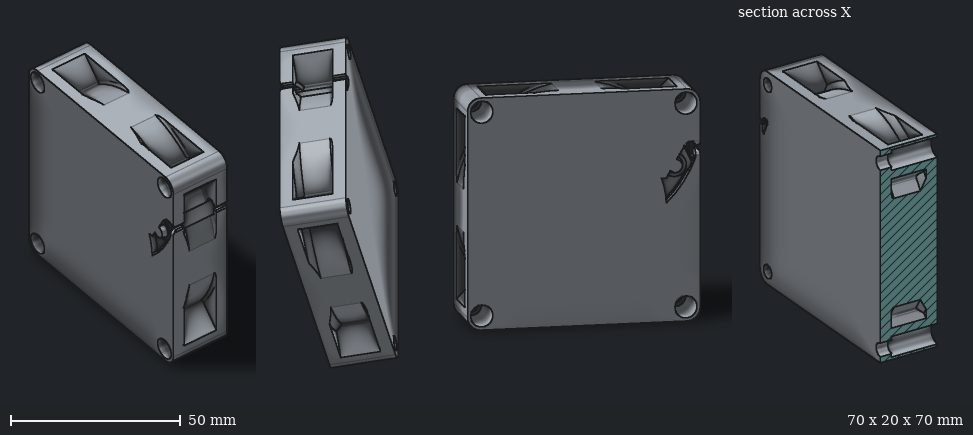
import cadquery as cq
import math


WIDTH = 70.0
DEPTH = 20.0
HALF = WIDTH / 2
FRONT_Y = -DEPTH / 2
CORNER_RADIUS = 4.0

HOLE_SPACING = 61.4
HOLE_DIAMETER = 4.4
COUNTERBORE_DIAMETER = 6.6
COUNTERBORE_DEPTH = 16.0

RING_RADIUS = 35.6
POCKET_END = 28.75
POCKET_HALF_DEPTH = 6.0
FRONT_BEVEL = 2.0
ROOT_FILLET = 0.8

MARGIN = 0.2

RECESS_DEPTH = 2.0
RECESS_INNER_RADIUS = 24.8
RECESS_TOP = (30.3, 18.0)
RECESS_LEFT = (24.8, 8.4)
RECESS_CORNER_Z = 8.3
RECESS_TIP_Z = 0.9
RECESS_ARC_MIDDLE = (30.3, 7.6)
RIM_BEVEL_WIDTH = 0.65
RIM_BEVEL_DEPTH = 0.25
RIM_BEVEL_TOP_Z = 10.4
FLOOR_CHAMFER = 0.5

POST_CENTER = (27.6, 11.9)
POST_TOP_RADIUS = 2.0
POST_FOOT_RADIUS = 2.5
PAD_RADIUS = 3.55
PAD_DEPTH = 1.8

NOTCH_UPPER = (30.9, 17.6)
NOTCH_LOWER = (32.8, 13.7)
NOTCH_TOP_Z = 19.05
NOTCH_CORNER = 0.5
HOOK_X = 33.6
HOOK_SLOPE_RUN = 0.8
HOOK_SLOPE_END_Z = 18.2
HOOK_BASE = (HOOK_X, 14.4)
THROAT_BOTTOM_Z = 16.5
THROAT_TOP_Z = 17.7
THROAT_CHAMFER = 0.45
LEAD_IN_RADIUS = 1.55


def front_plane(depth=0.0):
    """Sketch plane at a depth behind the front face."""
    return cq.Workplane("XZ", origin=(0, FRONT_Y + depth, 0))


def prism(sketch, length):
    """Extrude a front-plane sketch toward +Y."""
    return sketch.extrude(-length)


def cone(center, front_radius, back_radius, length):
    """Truncated cone along +Y that starts at the front face."""
    profile = cq.Workplane("XY").polyline([
        (0, FRONT_Y),
        (front_radius, FRONT_Y),
        (back_radius, FRONT_Y + length),
        (0, FRONT_Y + length),
    ]).close()
    solid = profile.revolve(360, (0, 0, 0), (0, 1, 0))
    return solid.translate((center[0], 0, center[1]))


def housing():
    body = prism(front_plane().rect(WIDTH, WIDTH), DEPTH)
    return body.edges("|Y").fillet(CORNER_RADIUS)


def screw_holes():
    """Through holes at the four corners, counterbored from the front."""
    corners = front_plane().rect(HOLE_SPACING, HOLE_SPACING, forConstruction=True).vertices()
    bores = prism(corners.circle(HOLE_DIAMETER / 2), DEPTH)
    counterbores = prism(corners.circle(COUNTERBORE_DIAMETER / 2), COUNTERBORE_DEPTH)
    return bores.union(counterbores)


def fan_ring():
    """Round core left standing in the pockets, flared toward the front."""
    bevel_start = -POCKET_HALF_DEPTH + FRONT_BEVEL
    profile = cq.Workplane("XY").polyline([
        (0, -POCKET_HALF_DEPTH),
        (RING_RADIUS + FRONT_BEVEL, -POCKET_HALF_DEPTH),
        (RING_RADIUS, bevel_start),
        (RING_RADIUS, POCKET_HALF_DEPTH),
        (0, POCKET_HALF_DEPTH),
    ]).close()
    return profile.revolve(360, (0, 0, 0), (0, 1, 0))


def top_right_pocket():
    """Pocket in the top side: ends in a wall that slopes at 45 degrees."""
    wedge = (
        cq.Workplane("XZ", origin=(0, -POCKET_HALF_DEPTH, 0))
        .polyline([(0, HALF), (POCKET_END, HALF), (0, HALF - POCKET_END)])
        .close()
        .extrude(-2 * POCKET_HALF_DEPTH)
    )
    pocket = wedge.cut(fan_ring())
    back_y = POCKET_HALF_DEPTH
    half_ring = RING_RADIUS / 2
    pocket_reach = POCKET_END - MARGIN
    back_edge = cq.selectors.BoxSelector(
        (0, back_y - MARGIN, 0),
        (pocket_reach, back_y + MARGIN, HALF + MARGIN),
        boundingbox=True,
    )
    wall_edge = cq.selectors.BoxSelector(
        (half_ring, MARGIN - back_y, half_ring),
        (pocket_reach, back_y + MARGIN, HALF - MARGIN),
        boundingbox=True,
    )
    root_edges = back_edge + wall_edge
    return pocket.edges(root_edges).fillet(ROOT_FILLET)


def side_pockets():
    """A mirrored pair of pockets in each of the four sides."""
    pocket = top_right_pocket()
    pair = pocket.union(pocket.mirror("YZ"))
    return [pair.rotate((0, 0, 0), (0, 1, 0), 90 * turn) for turn in range(4)]


def arc_center(p, q, r):
    """Center of the circle through three points."""
    d = 2 * (p[0] * (q[1] - r[1]) + q[0] * (r[1] - p[1]) + r[0] * (p[1] - q[1]))
    pp, qq, rr = (a * a + b * b for a, b in (p, q, r))
    x = (pp * (q[1] - r[1]) + qq * (r[1] - p[1]) + rr * (p[1] - q[1])) / d
    z = (pp * (r[0] - q[0]) + qq * (p[0] - r[0]) + rr * (q[0] - p[0])) / d
    return x, z


def inner_arc_point(z):
    return math.sqrt(RECESS_INNER_RADIUS**2 - z**2), z


def recess_area(length):
    """Full recess outline as a straight-walled prism."""
    corner = inner_arc_point(RECESS_CORNER_Z)
    middle = inner_arc_point((RECESS_CORNER_Z + RECESS_TIP_Z) / 2)
    outline = (
        front_plane()
        .moveTo(*RECESS_TOP)
        .lineTo(*RECESS_LEFT)
        .lineTo(*corner)
        .threePointArc(middle, inner_arc_point(RECESS_TIP_Z))
        .threePointArc(RECESS_ARC_MIDDLE, HOOK_BASE)
        .close()
    )
    return prism(outline, length)


def recess():
    """Recess with a beveled outer rim, a screw post on a round pad and a chamfered floor edge."""
    area = recess_area(RECESS_DEPTH)
    tip = inner_arc_point(RECESS_TIP_Z)
    rim_center = arc_center(tip, RECESS_ARC_MIDDLE, HOOK_BASE)
    rim_radius = math.dist(rim_center, tip)
    floor_radius = rim_radius - RIM_BEVEL_WIDTH
    rim = cone(rim_center, rim_radius, floor_radius, RIM_BEVEL_DEPTH)
    rim = rim.union(cone(rim_center, floor_radius, floor_radius, RECESS_DEPTH))
    above = cq.Workplane("XY").box(WIDTH, 2 * DEPTH, WIDTH).translate((0, 0, RIM_BEVEL_TOP_Z + HALF))
    pad = prism(front_plane(PAD_DEPTH).center(*POST_CENTER).circle(PAD_RADIUS), RECESS_DEPTH - PAD_DEPTH)
    post = cone(POST_CENTER, POST_TOP_RADIUS, POST_FOOT_RADIUS, PAD_DEPTH)
    opening = area.intersect(rim).union(area.intersect(above)).cut(pad).cut(post)
    return opening.union(floor_edge_chamfer())


def floor_edge_chamfer():
    """Bevel along the floor edge where the recess drops into the notch."""
    run_x = NOTCH_LOWER[0] - NOTCH_UPPER[0]
    run_z = NOTCH_LOWER[1] - NOTCH_UPPER[1]
    plane = cq.Plane(
        origin=(NOTCH_UPPER[0], FRONT_Y + RECESS_DEPTH, NOTCH_UPPER[1]),
        xDir=(run_z, 0, -run_x),
        normal=(run_x, 0, run_z),
    )
    inward = cq.Vector(0, 1, 0).dot(plane.yDir)
    profile = cq.Workplane(plane).polyline([
        (0, 0),
        (FLOOR_CHAMFER, 0),
        (0, inward * FLOOR_CHAMFER),
    ]).close()
    bevel = profile.extrude(HALF, both=True)
    return bevel.intersect(recess_area(RECESS_DEPTH + FLOOR_CHAMFER))


def notch():
    """Cable notch with a narrow throat at the right side, open through the full depth."""
    outline = front_plane().polyline([
        NOTCH_UPPER,
        (NOTCH_UPPER[0], NOTCH_TOP_Z - NOTCH_CORNER),
        (NOTCH_UPPER[0] + NOTCH_CORNER, NOTCH_TOP_Z),
        (HOOK_X - HOOK_SLOPE_RUN, NOTCH_TOP_Z),
        (HOOK_X, HOOK_SLOPE_END_Z),
        (HOOK_X, THROAT_TOP_Z),
        (HALF - THROAT_CHAMFER, THROAT_TOP_Z),
        (HALF, THROAT_TOP_Z + THROAT_CHAMFER),
        (HALF, THROAT_BOTTOM_Z - THROAT_CHAMFER),
        (HALF - THROAT_CHAMFER, THROAT_BOTTOM_Z),
        (HOOK_X, THROAT_BOTTOM_Z),
        HOOK_BASE,
        NOTCH_LOWER,
    ]).close()
    return prism(outline, DEPTH)


def throat_lead_in():
    """Flare of the throat at the front face, so that a cable slides in."""
    back = FRONT_Y + LEAD_IN_RADIUS
    outline = (
        cq.Workplane("YZ", origin=(HOOK_X - HOOK_SLOPE_RUN, 0, 0))
        .moveTo(FRONT_Y, THROAT_BOTTOM_Z - LEAD_IN_RADIUS)
        .radiusArc((back, THROAT_BOTTOM_Z), LEAD_IN_RADIUS)
        .lineTo(back, THROAT_TOP_Z)
        .radiusArc((FRONT_Y, THROAT_TOP_Z + LEAD_IN_RADIUS), LEAD_IN_RADIUS)
        .close()
    )
    return outline.extrude(HALF)


result = housing().cut(screw_holes())
for side in side_pockets():
    result = result.cut(side)
result = result.cut(recess()).cut(notch()).cut(throat_lead_in())